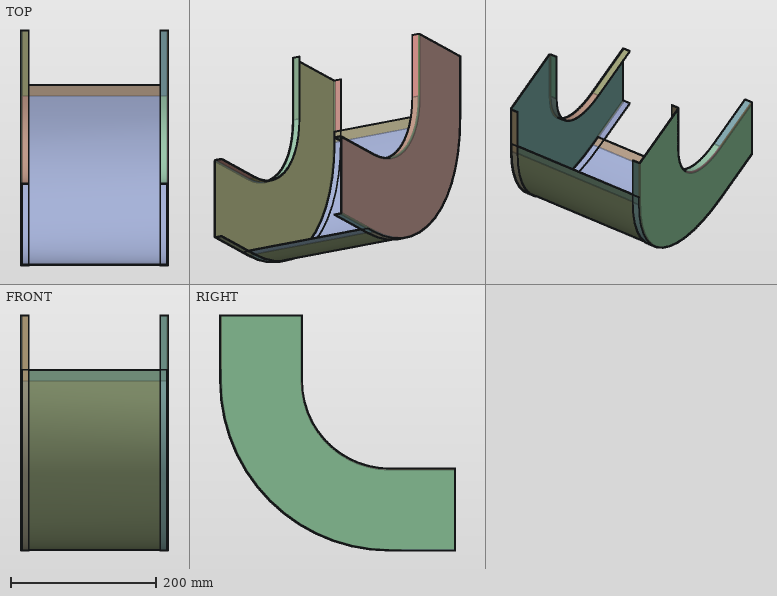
import cadquery as cq
import math

tray_size = 323.8
tray_width = 203.0
rail_height = 113.3
straight_length = 90.0
flange_width = 11.3

sheet = 1.0
fold_outer_radius = 2.0

plate_tail = 15.2
plate_mid_offset = 1.5 * sheet

bend_radius = tray_size - straight_length
half_width = tray_width / 2


def bend_path(offset, tail):
    """Line, quarter arc, line in the YZ plane, offset inward from the outside of the bend."""
    radius = bend_radius - offset
    diagonal = bend_radius - radius * math.sqrt(0.5)
    return (
        cq.Workplane("YZ")
        .moveTo(bend_radius + tail, offset)
        .lineTo(bend_radius, offset)
        .threePointArc((diagonal, diagonal), (offset, bend_radius))
        .lineTo(offset, bend_radius + tail)
    )


def rounded_fold(outline, start, corner, end):
    """Continue an outline through a square corner, rounded by a quarter arc."""
    centre = (start[0] + end[0] - corner[0], start[1] + end[1] - corner[1])
    reach = math.sqrt(0.5)
    middle = (
        centre[0] + (2 * corner[0] - start[0] - end[0]) * reach,
        centre[1] + (2 * corner[1] - start[1] - end[1]) * reach,
    )
    return outline.lineTo(*start).threePointArc(middle, end)


def make_rail():
    """Channel with its outer web face on X = 0 and its flanges towards +X."""
    ro = fold_outer_radius
    top = rail_height
    inner_top = top - sheet
    outline = cq.Workplane("XZ", origin=(0, tray_size, 0)).moveTo(flange_width, 0)
    outline = rounded_fold(outline, (ro, 0), (0, 0), (0, ro))
    outline = rounded_fold(outline, (0, top - ro), (0, top), (ro, top))
    outline = outline.lineTo(flange_width, top).lineTo(flange_width, inner_top)
    outline = rounded_fold(outline, (ro, inner_top), (sheet, inner_top), (sheet, top - ro))
    outline = rounded_fold(outline, (sheet, ro), (sheet, sheet), (ro, sheet))
    outline = outline.lineTo(flange_width, sheet).close()
    return outline.sweep(bend_path(0, straight_length))


def make_floor_plate():
    """Curved sheet on the inside of both outer flanges, reaching to where their folds begin."""
    return (
        cq.Workplane("XZ", origin=(0, bend_radius + plate_tail, 0))
        .center(0, plate_mid_offset)
        .rect(tray_width - 2 * fold_outer_radius, sheet)
        .sweep(bend_path(plate_mid_offset, plate_tail))
    )


left_rail = make_rail().translate((-half_width, 0, 0))
rails = [left_rail, left_rail.mirror("YZ")]
floor_plate = make_floor_plate()

result = cq.Compound.makeCompound([*[rail.val() for rail in rails], floor_plate.val()])